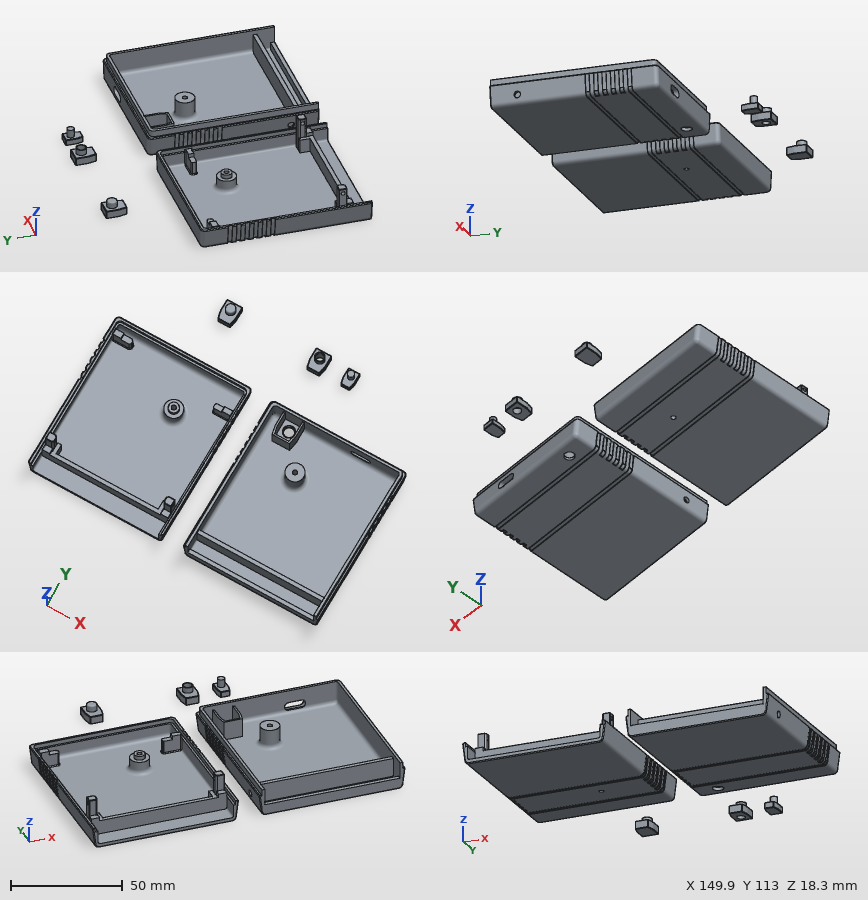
import cadquery as cq
import math

SHELL_PITCH = 79.9
SHELL_WIDTH = 70.0
SHELL_DEPTH = 80.0
RIM_HEIGHT = 10.3
FLOOR = 2.0
WALL = 2.5
DRAFT = 7.5
OUTER_RADIUS = 2.1
RIM_CHAMFER = 0.5
FRONT_CHAMFER = 0.5
CAVITY_RADIUS = 2.0
CORNER_RADIUS = 1.0

HALF_CAVITY = SHELL_WIDTH / 2 - WALL
CAVITY_BACK = SHELL_DEPTH - WALL
DRAFT_SLOPE = math.tan(math.radians(DRAFT))
WIDEST_Z = RIM_HEIGHT - RIM_CHAMFER

GROOVE_COUNT = 6
GROOVE_WIDTH = 2.0
GROOVE_SPAN = 20.1
GROOVE_PITCH = GROOVE_SPAN / (GROOVE_COUNT - 1)
GROOVE_DEPTH = 0.5
GROOVE_CENTRE_Y = 56.5
GROOVE_BREAK_Z = 8.4

BULKHEAD_Y = 8.2
BULKHEAD_THICKNESS = 2.0
BULKHEAD_BACK = BULKHEAD_Y + BULKHEAD_THICKNESS

BOSS_OFFSET_X = 8.7
BOSS_Y = 54.8
BOSS_DIAMETER = 9.0
BOSS_FILLET = 2.1
SCREW_HOLE = 2.2

BASE_CAVITY_SIDE_RADIUS = 1.0
RABBET_Z = 8.4
RABBET_WALL = 1.5
BASE_BOSS_TOP = 8.2
SPIGOT_DIAMETER = 5.1
SPIGOT_TOP = 10.2
BASE_BULKHEAD_TOP = 8.7
BLOCK_WIDTH = 3.9
POST_WIDTH = 4.2
POST_FRONT = 11.1
POST_BACK = 15.0
POST_TOP = 18.3
POST_CHAMFER = 0.3
POST_CORNER = 0.9
LATCH_HOLE = 1.8
LATCH_Y = (POST_FRONT + POST_BACK) / 2
LATCH_Z = 16.0
ARM_WIDTH = 2.0
RIB_STEP = 4.3
RIB_TALL_TOP = 10.0
RIB_LOW_TOP = 8.2
RIB_FLARE = 0.5
LEFT_RIB_LENGTH = 9.3
LEFT_RIB_THICKNESS = 2.8
LEFT_RIB_Y = 72.8
LEFT_RIB_CORNER = 0.7
RIGHT_RIB_LENGTH = 8.8
RIGHT_RIB_THICKNESS = 2.5
RIGHT_RIB_CORNER = 0.5
RIGHT_RIB_Y = 65.3

LIP_TOP = 13.3
LIP_INSET = 1.2
COVER_LEFT_CORNER = 1.8
COVER_BULKHEAD_TOP = 11.1
COVER_BOSS_TOP = 11.5
SCREW_DEPTH = 7.5
SILL_HEIGHT = 5.4
SILL_THICKNESS = 2.0
TROUGH_RADIUS = 0.7
LATCH_RECESS = 3.0
LATCH_RECESS_DEPTH = 1.2
BUTTON_OFFSET_X = -22.2
BUTTON_Y = 73.0
BUTTON_HOLE = 5.1
BUTTON_HOLE_CHAMFER = 0.5
GUIDE_WIDTH = 10.6
GUIDE_TIP_WIDTH = 9.0
GUIDE_FRONT = 65.5
GUIDE_TAPER_Y = 70.0
GUIDE_WALL = 0.9
GUIDE_TOP = 11.1
SLOT_OFFSET_X = 12.1
SLOT_Z = 5.2
SLOT_LENGTH = 10.0
SLOT_HEIGHT = 3.9

BUTTON_LINE_Y = 109.1
FOOT_CHAMFER = 0.3
FOOT_TAPER = 2.1
LARGE_WIDTH = 8.1
LARGE_TIP_WIDTH = 6.3
LARGE_BACK = 3.9
LARGE_FRONT = 6.1
LARGE_HEIGHT = 3.9
LARGE_STEM = 4.8
SMALL_WIDTH = 6.0
SMALL_TIP_WIDTH = 4.5
SMALL_BACK = 3.1
SMALL_FRONT = 5.2
SMALL_HEIGHT = 3.0
SMALL_STEM = 3.3
STEM_TOP = 6.9
SOLID_STEM_FILLET = 0.67
SOLID_X = -33.1
HOLLOW_STEM_TOP = 6.6
HOLLOW_BORE = 3.9
HOLLOW_X = 12.9
SMALL_X = 28.9


def block(x0, x1, y0, y1, z0, z1):
    return cq.Workplane("XY").box(x1 - x0, y1 - y0, z1 - z0, centered=False).translate((x0, y0, z0))


def cylinder(x, y, z0, z1, diameter):
    return cq.Workplane("XY").workplane(offset=z0).center(x, y).circle(diameter / 2).extrude(z1 - z0)


def half_width(z):
    return SHELL_WIDTH / 2 + (z - WIDEST_Z) * DRAFT_SLOPE


def along_y(points, y0, y1):
    """Extrude an outline of (x, z) points from y0 to y1."""
    return cq.Workplane("XZ").polyline(points).close().extrude(y0 - y1).translate((0, y0, 0))


def shell_block():
    low = half_width(0)
    high = half_width(RIM_HEIGHT)
    body = along_y([(-low, 0), (low, 0), (high, RIM_HEIGHT), (-high, RIM_HEIGHT)], 0, SHELL_DEPTH)
    body = body.faces(">Y").edges("not #Z").fillet(OUTER_RADIUS)
    body = body.faces("<Z").edges("not <Y").fillet(OUTER_RADIUS)
    body = body.faces(">Z").edges("not <Y").chamfer(RIM_CHAMFER)
    return body.faces("<Y").edges("not >Z").chamfer(FRONT_CHAMFER)


def cut_grooves(body):
    """Shallow grip grooves; the first and the last one also run across the bottom."""
    low = half_width(GROOVE_DEPTH) - GROOVE_DEPTH
    high = half_width(GROOVE_BREAK_Z) - GROOVE_DEPTH
    core_points = [(-low, GROOVE_DEPTH), (low, GROOVE_DEPTH), (high, GROOVE_BREAK_Z), (high, RIM_HEIGHT),
                   (-high, RIM_HEIGHT), (-high, GROOVE_BREAK_Z)]
    flat = half_width(0) - OUTER_RADIUS
    for index in range(GROOVE_COUNT):
        y = GROOVE_CENTRE_Y + (index - (GROOVE_COUNT - 1) / 2) * GROOVE_PITCH - GROOVE_WIDTH / 2
        core = along_y(core_points, y, y + GROOVE_WIDTH)
        core = core.faces("<Z").edges("|Y").fillet(OUTER_RADIUS - GROOVE_DEPTH)
        groove = block(-SHELL_WIDTH, SHELL_WIDTH, y, y + GROOVE_WIDTH, 0, RIM_HEIGHT).cut(core)
        if 0 < index < GROOVE_COUNT - 1:
            groove = groove.cut(block(-flat, flat, y, y + GROOVE_WIDTH, 0, RIM_HEIGHT))
        body = body.cut(groove)
    return body


def cavity(front, top, side_radius, left_corner):
    """Hollow above the floor, rounded along the side walls and along the back wall."""
    across = block(-HALF_CAVITY, HALF_CAVITY, front, CAVITY_BACK, FLOOR, top)
    across = across.faces("<Z").edges("|Y").fillet(side_radius)
    lengthwise = block(-SHELL_WIDTH, SHELL_WIDTH, front, CAVITY_BACK, FLOOR, top)
    lengthwise = lengthwise.faces("<Z").edges(">Y").fillet(CAVITY_RADIUS)
    hollow = across.intersect(lengthwise)
    hollow = hollow.edges("|Z and >Y and >X").fillet(CORNER_RADIUS)
    return hollow.edges("|Z and >Y and <X").fillet(left_corner)


def rounded_tray(inset, z0, z1):
    """Block as large as the shell less an inset on the sides and back, with round back corners."""
    half = SHELL_WIDTH / 2 - inset
    tray = block(-half, half, 0, SHELL_DEPTH - inset, z0, z1)
    return tray.edges("|Z and >Y").fillet(OUTER_RADIUS)


def boss(x, top):
    post = cylinder(x, BOSS_Y, FLOOR, top, BOSS_DIAMETER)
    inner = BOSS_DIAMETER / 2
    outer = inner + BOSS_FILLET
    bend = BOSS_FILLET * (1 - math.sqrt(0.5))
    flare = (cq.Workplane("XZ").moveTo(0, FLOOR).lineTo(outer, FLOOR)
             .threePointArc((inner + bend, FLOOR + bend), (inner, FLOOR + BOSS_FILLET))
             .lineTo(0, FLOOR + BOSS_FILLET).close()
             .revolve(360, (0, 0, 0), (0, 1, 0)).translate((x, BOSS_Y, 0)))
    return post.union(flare)


def latch_post():
    """Post against the -X wall, with the raised block and the arm beside it."""
    wall = -HALF_CAVITY
    inner = wall + POST_WIDTH
    post = block(wall, inner, POST_FRONT, POST_BACK, FLOOR, POST_TOP)
    post = post.edges("|Z and >X").chamfer(POST_CORNER)
    post = post.edges("|Z and <X").chamfer(POST_CHAMFER)
    post = post.faces(">Z").chamfer(POST_CHAMFER)
    hole = cq.Workplane("YZ").center(LATCH_Y, LATCH_Z).circle(LATCH_HOLE / 2).extrude(POST_WIDTH)
    post = post.cut(hole.translate((wall, 0, 0)))
    raised = block(wall, wall + BLOCK_WIDTH, BULKHEAD_Y, POST_FRONT, FLOOR, RIM_HEIGHT)
    arm = block(inner, inner + ARM_WIDTH, BULKHEAD_Y, POST_BACK, FLOOR, BASE_BULKHEAD_TOP)
    return post.union(raised).union(arm)


def rib_outline(length, thickness, corner):
    """Outline of a rib on the -X wall: flared at the wall, with bevelled corners at the free end."""
    wall = -HALF_CAVITY
    half = thickness / 2
    end = wall + length
    return (cq.Workplane("XY").workplane(offset=FLOOR)
            .polyline([(wall, -half - RIB_FLARE), (wall + RIB_FLARE, -half), (end - corner, -half),
                       (end, corner - half), (end, half - corner), (end - corner, half),
                       (wall + RIB_FLARE, half), (wall, half + RIB_FLARE)]).close())


def rib(length, thickness, corner, y):
    """Stepped rib standing on the -X wall."""
    tall = rib_outline(length, thickness, corner).extrude(RIB_TALL_TOP - FLOOR)
    step = block(RIB_STEP - HALF_CAVITY, length, -thickness, thickness, RIB_LOW_TOP, RIB_TALL_TOP)
    foot = rib_outline(length, thickness, corner).offset2D(RIB_FLARE).extrude(RIB_FLARE, taper=45)
    return tall.cut(step).union(foot).translate((0, y, 0))


def make_base():
    base = cut_grooves(shell_block())
    base = base.cut(cavity(0, RIM_HEIGHT, BASE_CAVITY_SIDE_RADIUS, CORNER_RADIUS))
    base = base.cut(rounded_tray(RABBET_WALL, RABBET_Z, RIM_HEIGHT))
    base = base.union(block(-HALF_CAVITY, HALF_CAVITY, BULKHEAD_Y, BULKHEAD_BACK, FLOOR, BASE_BULKHEAD_TOP))
    left_post = latch_post()
    base = base.union(left_post).union(left_post.mirror("YZ"))
    base = base.union(rib(LEFT_RIB_LENGTH, LEFT_RIB_THICKNESS, LEFT_RIB_CORNER, LEFT_RIB_Y))
    right_rib = rib(RIGHT_RIB_LENGTH, RIGHT_RIB_THICKNESS, RIGHT_RIB_CORNER, RIGHT_RIB_Y)
    base = base.union(right_rib.mirror("YZ"))
    base = base.union(boss(BOSS_OFFSET_X, BASE_BOSS_TOP))
    base = base.union(cylinder(BOSS_OFFSET_X, BOSS_Y, BASE_BOSS_TOP, SPIGOT_TOP, SPIGOT_DIAMETER))
    base = base.cut(cylinder(BOSS_OFFSET_X, BOSS_Y, 0, SPIGOT_TOP, SCREW_HOLE))
    return base.translate((-SHELL_PITCH / 2, 0, 0))


def guide_outline(inset):
    half = GUIDE_WIDTH / 2 - inset
    tip = GUIDE_TIP_WIDTH / 2 - inset
    front = GUIDE_FRONT + inset
    return (cq.Workplane("XY").workplane(offset=FLOOR)
            .polyline([(-half, CAVITY_BACK), (-half, GUIDE_TAPER_Y), (-tip, front), (tip, front),
                       (half, GUIDE_TAPER_Y), (half, CAVITY_BACK)])
            .close().extrude(GUIDE_TOP - FLOOR).translate((BUTTON_OFFSET_X, 0, 0)))


def make_cover():
    cover = cut_grooves(shell_block())
    cover = cover.union(rounded_tray(LIP_INSET, FLOOR, LIP_TOP))
    cover = cover.cut(cavity(BULKHEAD_Y, LIP_TOP, CAVITY_RADIUS, COVER_LEFT_CORNER))
    trough = block(-HALF_CAVITY, HALF_CAVITY, SILL_THICKNESS, BULKHEAD_Y, FLOOR, LIP_TOP)
    cover = cover.cut(trough.faces("<Z").edges("|Y").fillet(TROUGH_RADIUS))
    cover = cover.cut(block(-HALF_CAVITY, HALF_CAVITY, 0, BULKHEAD_Y, SILL_HEIGHT, LIP_TOP))
    cover = cover.union(
        block(-HALF_CAVITY, HALF_CAVITY, BULKHEAD_Y, BULKHEAD_BACK, FLOOR, COVER_BULKHEAD_TOP))
    cover = cover.union(guide_outline(0)).cut(guide_outline(GUIDE_WALL))
    hole = cylinder(BUTTON_OFFSET_X, BUTTON_Y, 0, FLOOR, BUTTON_HOLE)
    mouth = (cq.Workplane("XY").workplane(offset=FLOOR).center(BUTTON_OFFSET_X, BUTTON_Y)
             .circle(BUTTON_HOLE / 2 + BUTTON_HOLE_CHAMFER).extrude(-BUTTON_HOLE_CHAMFER, taper=45))
    cover = cover.cut(hole).cut(mouth)
    cover = cover.union(boss(-BOSS_OFFSET_X, COVER_BOSS_TOP))
    cover = cover.cut(
        cylinder(-BOSS_OFFSET_X, BOSS_Y, COVER_BOSS_TOP - SCREW_DEPTH, COVER_BOSS_TOP, SCREW_HOLE))
    slot = (cq.Workplane("XZ").center(SLOT_OFFSET_X, SLOT_Z).slot2D(SLOT_LENGTH, SLOT_HEIGHT)
            .extrude(-WALL).translate((0, CAVITY_BACK, 0)))
    cover = cover.cut(slot)
    latch_z = 2 * RIM_HEIGHT - LATCH_Z
    recess = cq.Workplane("YZ").center(LATCH_Y, latch_z).circle(LATCH_RECESS / 2).extrude(SHELL_WIDTH)
    recess = recess.translate((half_width(latch_z) - LATCH_RECESS_DEPTH, 0, 0))
    cover = cover.cut(recess).cut(recess.mirror("YZ"))
    return cover.translate((SHELL_PITCH / 2, 0, 0))


def button_foot(width, tip_width, back, front, height):
    """Foot around the stem axis, tapering towards its front tip."""
    half = width / 2
    tip = tip_width / 2
    foot = (cq.Workplane("XY")
            .polyline([(-half, back), (-half, -FOOT_TAPER), (-tip, -front),
                       (tip, -front), (half, -FOOT_TAPER), (half, back)])
            .close().extrude(height))
    return foot.edges().chamfer(FOOT_CHAMFER)


def large_foot():
    return button_foot(LARGE_WIDTH, LARGE_TIP_WIDTH, LARGE_BACK, LARGE_FRONT, LARGE_HEIGHT)


def make_solid_button():
    stem = cylinder(0, 0, 0, STEM_TOP, LARGE_STEM).faces(">Z").edges().fillet(SOLID_STEM_FILLET)
    return large_foot().union(stem).translate((SOLID_X, BUTTON_LINE_Y, 0))


def make_hollow_button():
    button = large_foot().union(cylinder(0, 0, 0, HOLLOW_STEM_TOP, LARGE_STEM))
    button = button.cut(cylinder(0, 0, 0, HOLLOW_STEM_TOP, HOLLOW_BORE))
    return button.translate((HOLLOW_X, BUTTON_LINE_Y, 0))


def make_small_button():
    foot = button_foot(SMALL_WIDTH, SMALL_TIP_WIDTH, SMALL_BACK, SMALL_FRONT, SMALL_HEIGHT)
    return foot.union(cylinder(0, 0, 0, STEM_TOP, SMALL_STEM)).translate((SMALL_X, BUTTON_LINE_Y, 0))


base = make_base()
cover = make_cover()
solid_button = make_solid_button()
hollow_button = make_hollow_button()
small_button = make_small_button()
result = cq.Compound.makeCompound(
    [base.val(), cover.val(), solid_button.val(), hollow_button.val(), small_button.val()])